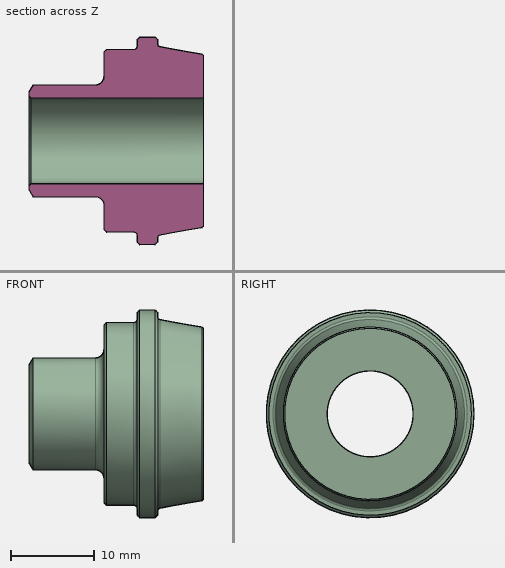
import cadquery as cq
import math

bore_radius = 5.15
tube_radius = 6.75
collar_radius = 11.0
flange_radius = 12.5
taper_start_radius = 11.35
taper_middle_radius = 10.88
taper_end_radius = 10.45

collar_start = 9.0
flange_start = 13.0
flange_end = 15.5
total_length = 21.0

tube_chamfer_length = 0.5
tube_chamfer_depth = 0.85
bore_chamfer = 0.25
edge_chamfer = 0.32
tube_fillet = 1.0
collar_fillet = 0.4
taper_fillet = 0.32
taper_end_chamfer = 0.18


def add_concave_fillet(profile, center_x, center_radius, size, start_angle, end_angle):
    """Line to the start of a fillet arc, then follow the arc (angles in degrees)."""
    points = []
    for angle in (start_angle, (start_angle + end_angle) / 2, end_angle):
        turn = math.radians(angle)
        points.append((center_x + size * math.cos(turn), center_radius + size * math.sin(turn)))
    return profile.lineTo(*points[0]).threePointArc(points[1], points[2])


profile = cq.Workplane("XY").moveTo(bore_chamfer, bore_radius)

profile = profile.lineTo(0, bore_radius + bore_chamfer)
profile = profile.lineTo(0, tube_radius - tube_chamfer_depth)
profile = profile.lineTo(tube_chamfer_length, tube_radius)

profile = add_concave_fillet(
    profile, collar_start - tube_fillet, tube_radius + tube_fillet, tube_fillet, -90, 0
)

profile = profile.lineTo(collar_start, collar_radius - edge_chamfer)
profile = profile.lineTo(collar_start + edge_chamfer, collar_radius)
profile = add_concave_fillet(
    profile, flange_start - collar_fillet, collar_radius + collar_fillet, collar_fillet, -90, 0
)

profile = profile.lineTo(flange_start, flange_radius - edge_chamfer)
profile = profile.lineTo(flange_start + edge_chamfer, flange_radius)
profile = profile.lineTo(flange_end - edge_chamfer, flange_radius)
profile = profile.lineTo(flange_end, flange_radius - edge_chamfer)

taper_start = flange_end + taper_fillet
taper_end = total_length - taper_end_chamfer
taper_middle = (taper_start + taper_end) / 2
taper_slope = math.degrees(
    math.atan2(taper_start_radius - taper_middle_radius, taper_middle - taper_start)
)
taper_normal_angle = -90 - taper_slope
fillet_center_radius = taper_start_radius + taper_fillet
profile = add_concave_fillet(
    profile, taper_start, fillet_center_radius, taper_fillet, -180, taper_normal_angle
)
profile = profile.threePointArc((taper_middle, taper_middle_radius), (taper_end, taper_end_radius))

profile = profile.lineTo(total_length, taper_end_radius - taper_end_chamfer)
profile = profile.lineTo(total_length, bore_radius).close()

result = profile.revolve(360, (0, 0, 0), (1, 0, 0))